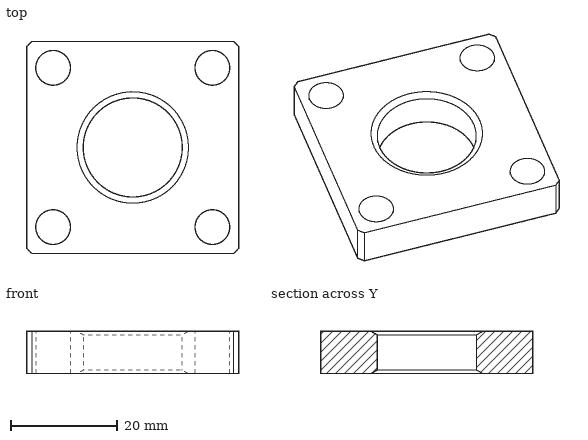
import math

import cadquery as cq

plate_side = 40.0
plate_thickness = 8.0
corner_chamfer = 1.0

bore_diameter = 18.631
bore_mouth_diameter = 21.0
countersink_included_angle = 120.0

mounting_hole_diameter = 6.5
mounting_hole_spacing = 30.0

bore_radius = bore_diameter / 2
mouth_radius = bore_mouth_diameter / 2
countersink_depth = (mouth_radius - bore_radius) / math.tan(math.radians(countersink_included_angle / 2))


def make_plate():
    """Square plate resting on Z = 0 with chamfered vertical edges."""
    plate = cq.Workplane("XY").box(
        plate_side, plate_side, plate_thickness, centered=(True, True, False)
    )
    return plate.edges("|Z").chamfer(corner_chamfer)


def cut_bore(body):
    """Cut the central bore, flared by a countersink at its top and bottom."""
    half_profile = (
        cq.Workplane("XZ")
        .lineTo(mouth_radius, 0)
        .lineTo(bore_radius, countersink_depth)
        .lineTo(bore_radius, plate_thickness - countersink_depth)
        .lineTo(mouth_radius, plate_thickness)
        .lineTo(0, plate_thickness)
        .close()
    )
    bore = half_profile.revolve(360, (0, 0, 0), (0, 1, 0))
    return body.cut(bore)


def cut_mounting_holes(body):
    """Cut the four plain through holes near the corners."""
    return (
        body.faces(">Z")
        .workplane(origin=(0, 0, plate_thickness))
        .rect(mounting_hole_spacing, mounting_hole_spacing, forConstruction=True)
        .vertices()
        .hole(mounting_hole_diameter)
    )


plate = make_plate()
bored_plate = cut_bore(plate)
result = cut_mounting_holes(bored_plate)